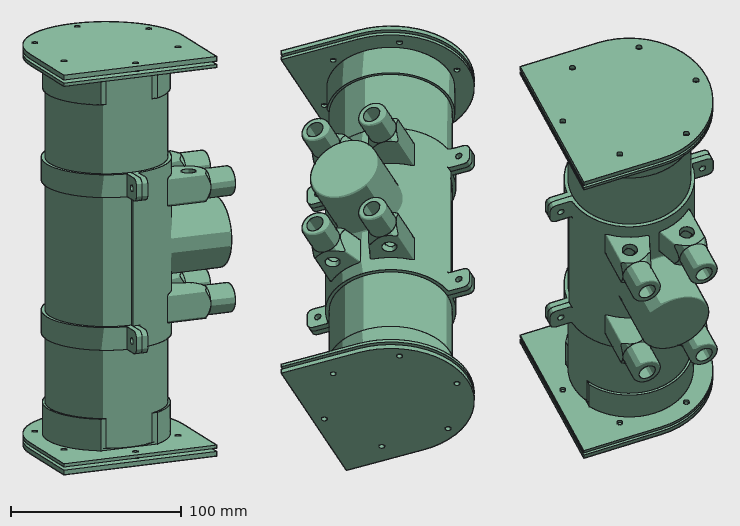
import cadquery as cq
import math

TUBE_RADIUS = 36.0
TOTAL_HEIGHT = 243.7
HALF_HEIGHT = TOTAL_HEIGHT / 2

LID_THICKNESS = 3.0
FLANGE_GAP = 2.0
FLANGE_THICKNESS = 2.0
TUBE_END_DEPTH = 8.0
COLLAR_END_DEPTH = 26.0
COLLAR_RADIUS = 37.5
COLLAR_FLAT_X = 33.0
FLANGE_OUTER = LID_THICKNESS + FLANGE_GAP
PLATE_RADIUS = 49.0
SCREW_CIRCLE_RADIUS = 42.2
SCREW_COUNT = 6
SCREW_HOLE_RADIUS = 1.7

SHELL_RADIUS = 38.3
STRAP_WIDTH = 14.0
STRAP_Z = 46.5
EAR_REACH = 51.7
EAR_THICKNESS = 3.7
EAR_CORNER_RADIUS = 4.0
EAR_HOLE_X = 44.8
EAR_HOLE_RADIUS = 2.0
EAR_ROOT_FILLET = 1.2
EAR_INNER_X = (TUBE_RADIUS + SHELL_RADIUS) / 2

SADDLE_HEIGHT = 2 * STRAP_Z + STRAP_WIDTH
OUTLET_Y = 71.5
OUTLET_FILLET = 1.5
BRANCH_RADIUS = 21.5
BRANCH_ROOT_FILLET = 1.2
PORT_X = 18.0
PORT_Z = 35.5
PORT_RADIUS = 8.8
PORT_BLOCK_FRONT_Y = 55.8
PORT_BLOCK_BACK_Y = 22.0
PORT_FLARE = 0.35
PORT_EDGE_FILLET = 1.5
PORT_CONE_INSET = 0.7
PORT_HOLE_Y = 44.5
PORT_HOLE_RADIUS = 4.5
PORT_BORE_RADIUS = 5.0

SELECT_MARGIN = 0.2


def cylinder_z(radius, height, bottom):
    return cq.Workplane("XY").workplane(offset=bottom).circle(radius).extrude(height)


def cylinder_y(radius, x, z, y_start, y_end):
    start = cq.Vector(x, y_start, z)
    return cq.Workplane(cq.Solid.makeCylinder(radius, y_end - y_start, start, cq.Vector(0, 1, 0)))


def mirrored_in_z(body):
    return body.mirror("XY")


def make_tube():
    half_length = HALF_HEIGHT - TUBE_END_DEPTH
    return cylinder_z(TUBE_RADIUS, 2 * half_length, -half_length)


def collar_blank(outer_depth, inner_depth):
    """Cylinder with a flat on its +X side, between two depths below the top."""
    height = inner_depth - outer_depth
    blank = cylinder_z(COLLAR_RADIUS, height, HALF_HEIGHT - inner_depth)
    keep = (
        cq.Workplane("XY")
        .workplane(offset=HALF_HEIGHT - inner_depth)
        .center(COLLAR_FLAT_X - COLLAR_RADIUS, 0)
        .rect(2 * COLLAR_RADIUS, 2 * COLLAR_RADIUS)
        .extrude(height)
    )
    return blank.intersect(keep)


def make_collar():
    """Cup that seats on the end of the tube, passes the flange and meets the lid."""
    return collar_blank(LID_THICKNESS, COLLAR_END_DEPTH).cut(make_tube())


def end_plate(outer_depth, thickness):
    """D-shaped plate, round towards -X, with a circle of screw holes."""
    return (
        cq.Workplane("XY")
        .workplane(offset=HALF_HEIGHT - outer_depth - thickness)
        .moveTo(0, -PLATE_RADIUS)
        .lineTo(PLATE_RADIUS, -PLATE_RADIUS)
        .lineTo(PLATE_RADIUS, PLATE_RADIUS)
        .lineTo(0, PLATE_RADIUS)
        .threePointArc((-PLATE_RADIUS, 0), (0, -PLATE_RADIUS))
        .close()
        .polarArray(SCREW_CIRCLE_RADIUS, 0, 360, SCREW_COUNT)
        .circle(SCREW_HOLE_RADIUS)
        .extrude(thickness)
    )


def make_lid():
    return end_plate(0, LID_THICKNESS)


def make_flange():
    opening = collar_blank(FLANGE_OUTER, FLANGE_OUTER + FLANGE_THICKNESS)
    return end_plate(FLANGE_OUTER, FLANGE_THICKNESS).cut(opening)


def half_shell(height, centre_z, side):
    """Half ring around the tube on the +Y (side = 1) or -Y (side = -1) half."""
    bottom = centre_z - height / 2
    ring = cylinder_z(SHELL_RADIUS, height, bottom)
    half = (
        cq.Workplane("XY")
        .workplane(offset=bottom)
        .center(0, side * SHELL_RADIUS)
        .rect(2 * SHELL_RADIUS, 2 * SHELL_RADIUS)
        .extrude(height)
    )
    return ring.intersect(half)


def ear(x_side, y_side, centre_z):
    """Flat lug with rounded outer corners and a bolt hole, resting on the plane Y = 0."""
    length = EAR_REACH - EAR_INNER_X
    plate = (
        cq.Workplane("XY")
        .box(length, EAR_THICKNESS, STRAP_WIDTH)
        .edges("|Y and >X")
        .fillet(EAR_CORNER_RADIUS)
        .translate((EAR_INNER_X + length / 2, EAR_THICKNESS / 2, 0))
    )
    plate = plate.cut(cylinder_y(EAR_HOLE_RADIUS, EAR_HOLE_X, 0, 0, EAR_THICKNESS))
    if x_side < 0:
        plate = plate.mirror("YZ")
    if y_side < 0:
        plate = plate.mirror("XZ")
    return plate.translate((0, 0, centre_z))


def make_strap(centre_z):
    strap = half_shell(STRAP_WIDTH, centre_z, -1)
    for x_side in (-1, 1):
        strap = strap.union(ear(x_side, -1, centre_z))
    return strap.cut(make_tube())


def port():
    """Round outlet on a flared block, for the +X, +Z quarter."""
    outer_x = PORT_X + PORT_RADIUS
    inner_x = PORT_X - PORT_RADIUS
    flare = PORT_FLARE * (PORT_BLOCK_FRONT_Y - PORT_BLOCK_BACK_Y)
    block = (
        cq.Workplane("XY")
        .workplane(offset=PORT_Z - PORT_RADIUS)
        .moveTo(outer_x, PORT_BLOCK_BACK_Y)
        .lineTo(outer_x, PORT_BLOCK_FRONT_Y)
        .lineTo(inner_x, PORT_BLOCK_FRONT_Y)
        .lineTo(inner_x - flare, PORT_BLOCK_BACK_Y)
        .close()
        .extrude(2 * PORT_RADIUS)
        .faces("|Z")
        .edges("not |X")
        .fillet(PORT_EDGE_FILLET)
    )
    cone_radius = PORT_RADIUS - PORT_CONE_INSET
    cone_length = PORT_BLOCK_FRONT_Y - PORT_BLOCK_BACK_Y
    cone = cq.Solid.makeCone(
        cone_radius,
        cone_radius + cone_length,
        cone_length,
        cq.Vector(PORT_X, PORT_BLOCK_FRONT_Y, PORT_Z),
        cq.Vector(0, -1, 0),
    )
    outlet = cylinder_y(PORT_RADIUS, PORT_X, PORT_Z, PORT_HOLE_Y, OUTLET_Y)
    outlet = outlet.faces(">Y").edges().fillet(OUTLET_FILLET)
    return block.intersect(cq.Workplane(cone)).union(outlet)


def port_passage():
    """Bore from the outlet that meets a hole in the outward Z face of the block."""
    bore = cylinder_y(PORT_BORE_RADIUS, PORT_X, PORT_Z, PORT_HOLE_Y - PORT_BORE_RADIUS, OUTLET_Y)
    hole = cylinder_z(PORT_HOLE_RADIUS, PORT_RADIUS, PORT_Z)
    return bore.union(hole.translate((PORT_X, PORT_HOLE_Y, 0)))


def in_all_quarters(body):
    """The body and its mirror images in the YZ and XY planes."""
    pair = [body, body.mirror("YZ")]
    return pair + [mirrored_in_z(copy) for copy in pair]


def ear_roots(x_side):
    """Selects the edges where the ears on one side leave the round shell."""
    root_x = x_side * math.sqrt(SHELL_RADIUS**2 - EAR_THICKNESS**2)
    return cq.selectors.BoxSelector(
        (root_x - SELECT_MARGIN, EAR_THICKNESS - SELECT_MARGIN, -HALF_HEIGHT),
        (root_x + SELECT_MARGIN, EAR_THICKNESS + SELECT_MARGIN, HALF_HEIGHT),
        boundingbox=True,
    )


def branch_root():
    """Selects the edge where the branch pipe leaves the round shell."""
    reach = BRANCH_RADIUS + SELECT_MARGIN
    return cq.selectors.BoxSelector(
        (-reach, SELECT_MARGIN, -reach),
        (reach, SHELL_RADIUS + SELECT_MARGIN, reach),
        boundingbox=True,
    )


def make_saddle():
    saddle = half_shell(SADDLE_HEIGHT, 0, 1)
    branch = cylinder_y(BRANCH_RADIUS, 0, 0, 0, OUTLET_Y)
    branch = branch.faces(">Y").edges().fillet(OUTLET_FILLET)
    saddle = saddle.union(branch)
    saddle = saddle.edges(branch_root()).fillet(BRANCH_ROOT_FILLET)
    for strap_z in (-STRAP_Z, STRAP_Z):
        for x_side in (-1, 1):
            saddle = saddle.union(ear(x_side, 1, strap_z))
    for x_side in (-1, 1):
        saddle = saddle.edges(ear_roots(x_side)).fillet(EAR_ROOT_FILLET)
    for solid_port in in_all_quarters(port()):
        saddle = saddle.union(solid_port)
    for passage in in_all_quarters(port_passage()):
        saddle = saddle.cut(passage)
    return saddle.cut(make_tube())


tube = make_tube()
saddle = make_saddle()
straps = [make_strap(z) for z in (-STRAP_Z, STRAP_Z)]
upper_end = [make_lid(), make_flange(), make_collar()]
lower_end = [mirrored_in_z(body) for body in upper_end]

bodies = [tube, saddle, *straps, *upper_end, *lower_end]
result = cq.Compound.makeCompound([body.val() for body in bodies])